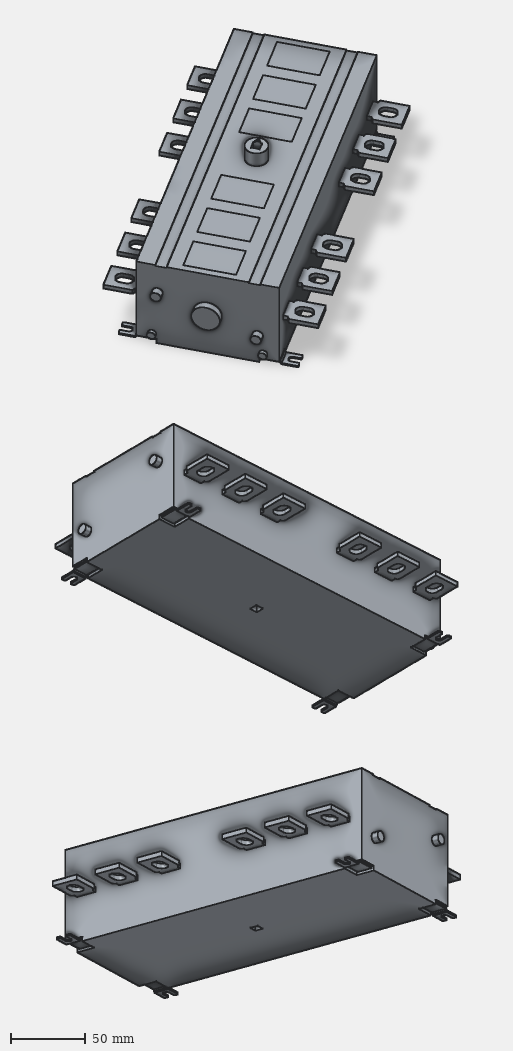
import cadquery as cq

body_width = 99.9
body_length = 245.0
body_height = 70.0
axis_height = body_height / 2

groove_width = 8.0
groove_depth = 0.8
groove_x = 32.7

pole_pitch = 35.0
pole_rows = [side * step * pole_pitch for side in (-1, 1) for step in (1, 2, 3)]
window_width = 36.8
window_length = 25.0
window_depth = 0.13

lug_span = 150.0
lug_width = 20.0
lug_thickness = 3.5
neck_width = 15.3
neck_end_x = 53.0
shoulder_run = 1.5
slot_x = 62.8
slot_length = 13.0
slot_width = 9.0

shaft_diameter = 16.0
shaft_top = 81.5
bore_size = 6.1
pointer_top = 82.5
pointer_half_width = 2.0
pointer_tip_y = 6.0

overall_length = 255.5
rear_pin_length = 5
front_pin_length = overall_length - body_length - rear_pin_length
rod_diameter = 7.5
rod_x = 35.0
rod_rise = 11.0
boss_diameter = 20.0
small_pin_diameter = 6.0
small_pin_length = 2.8
small_pin_x = 38.8
small_pin_z = 8.2

recess_width = 14.0
recess_length = 14.0
recess_height = 3.3
foot_thickness = 1.3
foot_tip_x = 62.8
foot_width = 11.5
foot_inset = 1.8
foot_bend_run = 1.3
fork_width = 4.9
fork_end_x = 54.5
prong_tip_radius = 0.8


def mirror_in_x(shape):
    """Return the shape joined with its mirror image across the YZ plane."""
    return shape.union(shape.mirror("YZ"))


def mirror_to_corners(shape):
    """Return the shape repeated at all four corners."""
    pair = mirror_in_x(shape)
    return pair.union(pair.mirror("XZ"))


def make_housing():
    """Block with its top grooves, label windows and corner recesses."""
    block = cq.Workplane("XY").box(body_width, body_length, body_height, centered=(True, True, False))
    grooves = (
        cq.Workplane("XY", origin=(0, 0, body_height - groove_depth))
        .pushPoints([(-groove_x, 0), (groove_x, 0)])
        .rect(groove_width, body_length)
        .extrude(groove_depth)
    )
    windows = (
        cq.Workplane("XY", origin=(0, 0, body_height - window_depth))
        .pushPoints([(0, y) for y in pole_rows])
        .rect(window_width, window_length)
        .extrude(window_depth)
    )
    recess = cq.Workplane("XY").box(recess_width, recess_length, recess_height, centered=False)
    recess = recess.translate((body_width / 2 - recess_width, body_length / 2 - recess_length, 0))
    return block.cut(grooves).cut(windows).cut(mirror_to_corners(recess))


def make_lug(y):
    """Terminal on the +X side: narrow neck, sloped shoulders and a rounded slot."""
    tip_x = lug_span / 2
    shoulder_x = neck_end_x + shoulder_run
    half_width = lug_width / 2
    half_neck = neck_width / 2
    root_x = body_width / 2
    outline = [
        (root_x, -half_neck),
        (neck_end_x, -half_neck),
        (shoulder_x, -half_width),
        (tip_x, -half_width),
        (tip_x, half_width),
        (shoulder_x, half_width),
        (neck_end_x, half_neck),
        (root_x, half_neck),
    ]
    plate = cq.Workplane("XY").polyline(outline).close().extrude(lug_thickness)
    slot = cq.Workplane("XY").center(slot_x, 0).slot2D(slot_length, slot_width).extrude(lug_thickness)
    return plate.cut(slot).translate((0, y, axis_height - lug_thickness / 2))


def make_foot():
    """Foot at the +X +Y corner: bent strip with an open fork at its outer end."""
    side_x = body_width / 2
    inner_x = side_x - recess_width
    bend_end_x = side_x + foot_bend_run
    outer_y = body_length / 2 - foot_inset
    middle_y = outer_y - foot_width / 2
    profile = [
        (inner_x, recess_height),
        (side_x, recess_height),
        (bend_end_x, foot_thickness),
        (foot_tip_x, foot_thickness),
        (foot_tip_x, 0),
        (bend_end_x, 0),
        (side_x, recess_height - foot_thickness),
        (inner_x, recess_height - foot_thickness),
    ]
    strip = cq.Workplane("XZ", origin=(0, outer_y, 0)).polyline(profile).close().extrude(foot_width)
    fork_length = 2 * (foot_tip_x - fork_end_x)
    fork = (
        cq.Workplane("XY")
        .center(foot_tip_x, middle_y)
        .slot2D(fork_length, fork_width)
        .extrude(foot_thickness)
    )
    return strip.cut(fork).faces(">X").edges("|Z").fillet(prong_tip_radius)


def make_shaft():
    """Drive shaft with a triangular pointer beside the bore."""
    shaft = (
        cq.Workplane("XY", origin=(0, 0, body_height))
        .circle(shaft_diameter / 2)
        .extrude(shaft_top - body_height)
    )
    pointer_base_y = bore_size / 2
    pointer = (
        cq.Workplane("XY", origin=(0, 0, shaft_top))
        .moveTo(-pointer_half_width, pointer_base_y)
        .lineTo(pointer_half_width, pointer_base_y)
        .lineTo(0, pointer_tip_y)
        .close()
        .extrude(pointer_top - shaft_top)
    )
    return shaft.union(pointer)


def make_front_pins(points, diameter, length):
    """Round studs standing out of the -Y face at the given (x, z) points."""
    front = cq.Workplane("XZ", origin=(0, -body_length / 2, 0))
    return front.pushPoints(points).circle(diameter / 2).extrude(length)


def make_rods():
    """Two diagonal rods running through the housing and out of both end faces."""
    points = [(-rod_x, axis_height + rod_rise), (rod_x, axis_height - rod_rise)]
    rear = cq.Workplane("XZ", origin=(0, body_length / 2 + rear_pin_length, 0))
    return rear.pushPoints(points).circle(rod_diameter / 2).extrude(overall_length)


result = make_housing()
for row_y in pole_rows:
    result = result.union(mirror_in_x(make_lug(row_y)))
result = result.union(mirror_to_corners(make_foot()))
result = result.union(make_rods())
result = result.union(make_front_pins([(0, axis_height)], boss_diameter, front_pin_length))
small_pin_points = [(-small_pin_x, small_pin_z), (small_pin_x, small_pin_z)]
result = result.union(make_front_pins(small_pin_points, small_pin_diameter, small_pin_length))
result = result.union(make_shaft())
bore = cq.Workplane("XY").rect(bore_size, bore_size).extrude(shaft_top)
result = result.cut(bore)